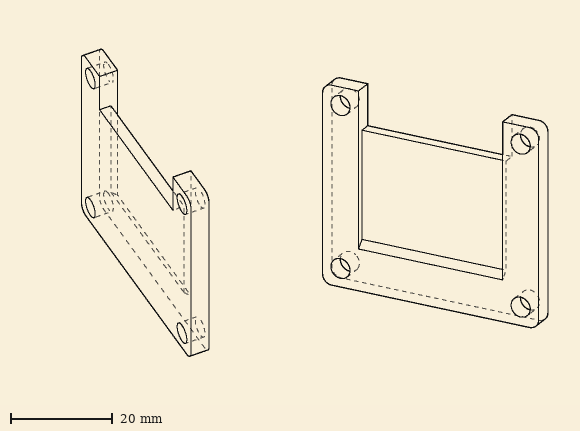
import cadquery as cq

width = 48.0
thickness = 4.0
height = 43.0
corner_radius = 2.0

hole_diameter = 4.2
hole_inset = 4.0

notch_width = 32.0
notch_depth = 9.0

web_thickness = 2.5
pocket_bottom_margin = notch_depth
pocket_depth = thickness - web_thickness

front_y = -thickness / 2
rear_y = thickness / 2
web_y = front_y + web_thickness
top_z = height / 2
notch_floor_z = top_z - notch_depth
pocket_bottom_z = -height / 2 + pocket_bottom_margin


def make_plate():
    plate = cq.Workplane("XY").box(width, thickness, height)
    return plate.edges("|Y").fillet(corner_radius)


def make_holes():
    return (
        cq.Workplane("XZ")
        .rect(width - 2 * hole_inset, height - 2 * hole_inset, forConstruction=True)
        .vertices()
        .circle(hole_diameter / 2)
        .extrude(thickness, both=True)
    )


def make_recess():
    """Notch and rear pocket in one profile; the pocket ends in a 45 degree slope at the bottom."""
    return (
        cq.Workplane("YZ")
        .moveTo(front_y, top_z)
        .lineTo(front_y, notch_floor_z)
        .lineTo(web_y, notch_floor_z)
        .lineTo(web_y, pocket_bottom_z + pocket_depth)
        .lineTo(rear_y, pocket_bottom_z)
        .lineTo(rear_y, top_z)
        .close()
        .extrude(notch_width / 2, both=True)
    )


result = make_plate().cut(make_holes()).cut(make_recess())